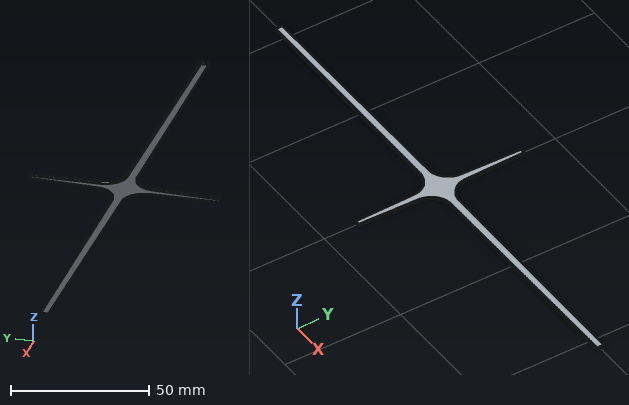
import cadquery as cq

length = 210.7
span = 71.6
thickness = 1.0
long_arm_root_width = 3.8
long_arm_tip_width = 3.0
short_arm_root_width = 3.8
short_arm_tip_width = 2.1
corner_radius = 8.5


def make_arm_pair(total_length, root_width, tip_width):
    """Two opposite arms along X, widest at the centre."""
    half_length = total_length / 2
    half_root = root_width / 2
    half_tip = tip_width / 2
    outline = [
        (0, half_root),
        (half_length, half_tip),
        (half_length, -half_tip),
        (0, -half_root),
        (-half_length, -half_tip),
        (-half_length, half_tip),
    ]
    return cq.Workplane("XY").polyline(outline).close().extrude(thickness)


def blend_inner_corners(cross):
    corner_zone = max(long_arm_root_width, short_arm_root_width)
    inner_corners = cq.selectors.BoxSelector(
        (-corner_zone, -corner_zone, 0),
        (corner_zone, corner_zone, thickness),
    )
    return cross.edges("|Z").edges(inner_corners).fillet(corner_radius)


long_arms = make_arm_pair(length, long_arm_root_width, long_arm_tip_width)
short_arms = make_arm_pair(span, short_arm_root_width, short_arm_tip_width).rotate(
    (0, 0, 0), (0, 0, 1), 90
)
result = blend_inner_corners(long_arms.union(short_arms))